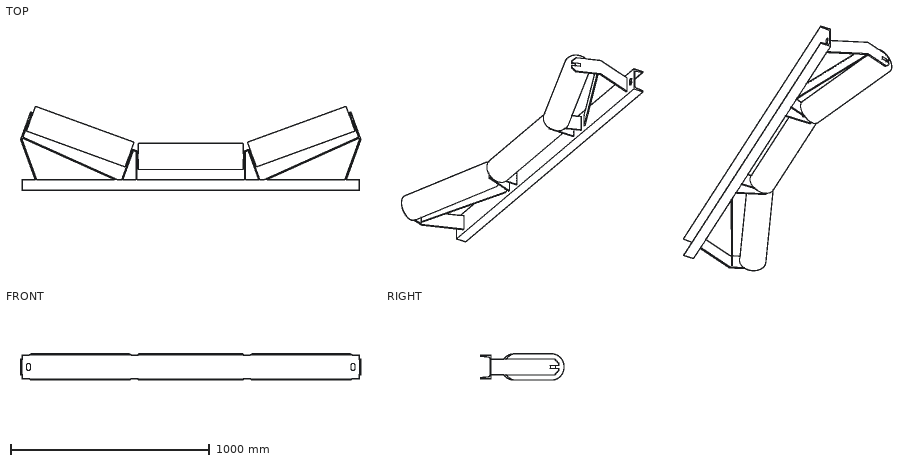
import cadquery as cq
import math

OVERALL_LENGTH = 1715.0
TROUGH_ANGLE = 20.0

CHANNEL_LENGTH = 1700.0
CHANNEL_HEIGHT = 120.0
CHANNEL_DEPTH = 55.0
WEB_THICKNESS = 7.0
FLANGE_ROOT_THICKNESS = 11.1
FLANGE_TIP_THICKNESS = 7.0
ROOT_RADIUS = 7.0
TIP_RADIUS = 4.5
CHANNEL_BACK_Y = -156.0
MOUNT_SLOT_X = 818.0
MOUNT_SLOT_WIDTH = 20.0
MOUNT_SLOT_LENGTH = 36.0

ROLLER_DIAMETER = 134.0
ROLLER_LENGTH = 530.0
ROLLER_EDGE_RADIUS = 5.0
SHAFT_END_DEPTH = 27.0
SHAFT_END_WIDTH = 15.0
CENTRE_ROLLER_Y = -40.0
WING_OUTER_END_X = -806.0
WING_OUTER_END_Y = 151.0

BAR_WIDTH = 79.0
OUTER_BAR_THICKNESS = 8.0
OUTER_GAP = 5.0
OUTER_TOP_Y = 185.0
OUTER_BEND_RADIUS = 7.0
OUTER_CORNER_CHAMFER = 20.0
INNER_BAR_THICKNESS = 6.0
INNER_GAP = 5.0
INNER_RIDGE_Y = -3.0
INNER_SHOULDER_Y = -12.0
STRUT_THICKNESS = 6.0
STRUT_FOOT_X = -370.0
STRUT_WIDTH = 60.0
STRUT_RISE = 14.0

COS = math.cos(math.radians(TROUGH_ANGLE))
SIN = math.sin(math.radians(TROUGH_ANGLE))
TAN = SIN / COS
OUTER_REACH = OUTER_GAP + OUTER_BAR_THICKNESS
INNER_REACH = INNER_GAP + INNER_BAR_THICKNESS
WING_CENTRE_X = WING_OUTER_END_X + COS * ROLLER_LENGTH / 2
WING_CENTRE_Y = WING_OUTER_END_Y - SIN * ROLLER_LENGTH / 2
FOOT_OVERRUN_Y = CHANNEL_BACK_Y - 17.0


def wing_point(along, across):
    """Point at a distance along the left wing roller axis and across it, from its centre."""
    return (WING_CENTRE_X + along * COS + across * SIN, WING_CENTRE_Y - along * SIN + across * COS)


def wing_point_at_y(along, y):
    """Point with the given Y on the line square to the left wing axis."""
    across = (y - wing_point(along, 0)[1]) / COS
    return wing_point(along, across)


def bent_bar(face_points, thickness, width):
    """Flat bar whose one face follows the points; its thickness lies to the right of that path."""
    headings = [
        math.atan2(y1 - y0, x1 - x0)
        for (x0, y0), (x1, y1) in zip(face_points, face_points[1:])
    ]
    before = [headings[0]] + headings
    after = headings + [headings[-1]]
    back_points = []
    for (x, y), heading_in, heading_out in zip(face_points, before, after):
        bisector = (heading_in + heading_out) / 2
        reach = thickness / math.cos((heading_out - heading_in) / 2)
        back_points.append((x + reach * math.sin(bisector), y - reach * math.cos(bisector)))
    outline = face_points + back_points[::-1]
    return cq.Workplane("XY").polyline(outline).close().extrude(width / 2, both=True)


def trim_at_channel(body):
    """Cut away everything below the back of the channel web."""
    below = cq.Workplane("XY").box(OVERALL_LENGTH, OVERALL_LENGTH, OVERALL_LENGTH)
    return body.cut(below.translate((0, CHANNEL_BACK_Y - OVERALL_LENGTH / 2, 0)))


def place_on_wing(body):
    """Move a body modelled along X about the origin onto the left wing roller axis."""
    turned = body.rotate((0, 0, 0), (0, 0, 1), -TROUGH_ANGLE)
    return turned.translate((WING_CENTRE_X, WING_CENTRE_Y, 0))


def make_channel():
    """Taper-flange channel, open towards -Y, with a mounting slot near each end of its web."""
    back = CHANNEL_BACK_Y
    tip = back - CHANNEL_DEPTH
    web_face = back - WEB_THICKNESS
    half = CHANNEL_HEIGHT / 2
    root_z = half - FLANGE_ROOT_THICKNESS
    tip_z = half - FLANGE_TIP_THICKNESS
    outline = [
        (back, -half), (tip, -half), (tip, -tip_z), (web_face, -root_z),
        (web_face, root_z), (tip, tip_z), (tip, half), (back, half),
    ]
    channel = cq.Workplane("YZ").polyline(outline).close().extrude(CHANNEL_LENGTH / 2, both=True)
    for z_sign in (-1, 1):
        root = cq.selectors.NearestToPointSelector((0, web_face, z_sign * root_z))
        channel = channel.edges(root).fillet(ROOT_RADIUS)
        lip = cq.selectors.NearestToPointSelector((0, tip, z_sign * tip_z))
        channel = channel.edges(lip).fillet(TIP_RADIUS)
    slots = (
        cq.Workplane("XZ", origin=(0, back, 0))
        .pushPoints([(-MOUNT_SLOT_X, 0), (MOUNT_SLOT_X, 0)])
        .slot2D(MOUNT_SLOT_LENGTH, MOUNT_SLOT_WIDTH, 90)
        .extrude(WEB_THICKNESS)
    )
    return channel.cut(slots)


def make_roller(left_reach, right_reach):
    """Roller along X, centred on the origin, with its shaft ends reaching past both faces."""
    shell = (
        cq.Workplane("YZ")
        .circle(ROLLER_DIAMETER / 2)
        .extrude(ROLLER_LENGTH)
        .translate((-ROLLER_LENGTH / 2, 0, 0))
        .faces("<X or >X")
        .edges()
        .fillet(ROLLER_EDGE_RADIUS)
    )
    shaft = cq.Workplane("XY").box(
        ROLLER_LENGTH + left_reach + right_reach, SHAFT_END_DEPTH, SHAFT_END_WIDTH
    )
    return shell.union(shaft.translate(((right_reach - left_reach) / 2, 0, 0)))


def make_centre_roller():
    return make_roller(INNER_REACH, INNER_REACH).translate((0, CENTRE_ROLLER_Y, 0))


def make_wing_roller():
    return place_on_wing(make_roller(OUTER_REACH, INNER_REACH))


def outer_bend_point():
    """Sharp corner of the outer bracket's outer face; once rounded it sets the overall length."""
    rounding_loss = (OUTER_BEND_RADIUS + OUTER_BAR_THICKNESS) * (1 / COS - 1)
    x = -OVERALL_LENGTH / 2 - rounding_loss
    face_x, face_y = wing_point(-ROLLER_LENGTH / 2 - OUTER_REACH, 0)
    return (x, face_y + (x - face_x) / TAN)


def outer_bend_back_point():
    """Sharp corner of the inner face of the outer bracket."""
    x, y = outer_bend_point()
    return (x + OUTER_BAR_THICKNESS / COS, y)


def make_outer_bracket():
    """Bent bar that carries the outer end of a wing roller in a slot open at its top."""
    bend = outer_bend_point()
    top = wing_point_at_y(-ROLLER_LENGTH / 2 - OUTER_REACH, OUTER_TOP_Y)
    foot = (bend[0] + (bend[1] - FOOT_OVERRUN_Y) * TAN, FOOT_OVERRUN_Y)
    bracket = bent_bar([foot, bend, top], OUTER_BAR_THICKNESS, BAR_WIDTH)
    bracket = (
        bracket.faces(cq.selectors.DirectionMinMaxSelector(cq.Vector(SIN, COS, 0)))
        .edges("not |Z")
        .chamfer(OUTER_CORNER_CHAMFER)
    )
    outer_edge = cq.selectors.NearestToPointSelector((*bend, 0))
    bracket = bracket.edges(outer_edge).fillet(OUTER_BEND_RADIUS + OUTER_BAR_THICKNESS)
    inner_edge = cq.selectors.NearestToPointSelector((*outer_bend_back_point(), 0))
    bracket = bracket.edges(inner_edge).fillet(OUTER_BEND_RADIUS)
    slot_height = ROLLER_DIAMETER
    slot = cq.Workplane("XY").box(2 * OUTER_REACH, slot_height, SHAFT_END_WIDTH)
    slot = slot.translate((-ROLLER_LENGTH / 2 - OUTER_REACH, (slot_height - SHAFT_END_DEPTH) / 2, 0))
    return trim_at_channel(bracket.cut(place_on_wing(slot)))


def make_inner_bracket(neighbour_rollers):
    """Folded bar that carries the inner end of a wing roller and one end of the centre roller."""
    wing_side = ROLLER_LENGTH / 2 + INNER_GAP
    centre_side_x = -ROLLER_LENGTH / 2 - INNER_GAP
    bracket = bent_bar(
        [
            wing_point_at_y(wing_side, FOOT_OVERRUN_Y),
            wing_point_at_y(wing_side, INNER_RIDGE_Y),
            (centre_side_x, INNER_SHOULDER_Y),
            (centre_side_x, FOOT_OVERRUN_Y),
        ],
        INNER_BAR_THICKNESS,
        BAR_WIDTH,
    )
    for roller in neighbour_rollers:
        bracket = bracket.cut(roller)
    return trim_at_channel(bracket)


def make_strut(outer_bracket):
    """Straight brace from just above the bend of the outer bracket down to the channel."""
    mid_thickness = -ROLLER_LENGTH / 2 - OUTER_GAP - OUTER_BAR_THICKNESS / 2
    start = wing_point_at_y(mid_thickness, outer_bend_point()[1] + STRUT_RISE)
    slope = (CHANNEL_BACK_Y - start[1]) / (STRUT_FOOT_X - start[0])
    end = (STRUT_FOOT_X + (FOOT_OVERRUN_Y - CHANNEL_BACK_Y) / slope, FOOT_OVERRUN_Y)
    brace = bent_bar([start, end], STRUT_THICKNESS, STRUT_WIDTH)
    return trim_at_channel(brace).cut(outer_bracket)


channel = make_channel()
centre_roller = make_centre_roller()
wing_roller = make_wing_roller()
outer_bracket = make_outer_bracket()
inner_bracket = make_inner_bracket([wing_roller, centre_roller])
strut = make_strut(outer_bracket)

bodies = [channel.val(), centre_roller.val()]
for left_body in (wing_roller, outer_bracket, inner_bracket, strut):
    bodies.append(left_body.val())
    bodies.append(left_body.mirror("YZ").val())

result = cq.Compound.makeCompound(bodies)